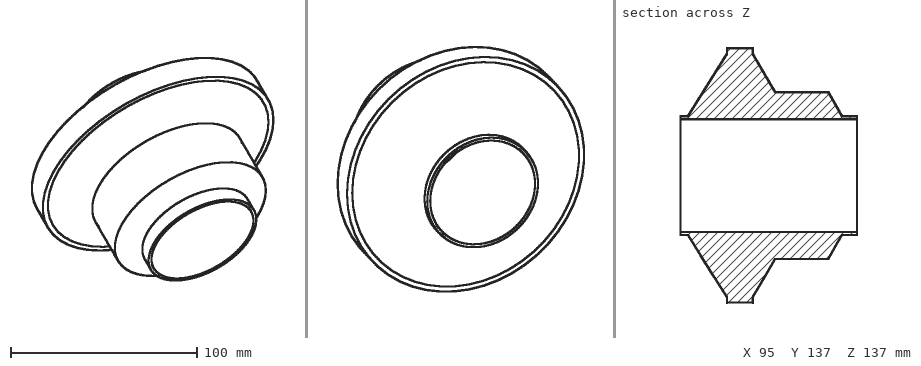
import cadquery as cq

flange_diameter = 137.0
cone_diameter = 131.0
hub_diameter = 89.7
neck_diameter = 64.0
bore_diameter = 60.5

front_neck_length = 4.0
front_cone_length = 21.0
flange_thickness = 14.0
back_cone_length = 12.0
hub_length = 28.6
hub_taper_length = 7.3
back_neck_length = 8.1

sections = [
    (front_neck_length, neck_diameter, neck_diameter),
    (front_cone_length, neck_diameter, cone_diameter),
    (flange_thickness, flange_diameter, flange_diameter),
    (back_cone_length, cone_diameter, hub_diameter),
    (hub_length, hub_diameter, hub_diameter),
    (hub_taper_length, hub_diameter, neck_diameter),
    (back_neck_length, neck_diameter, neck_diameter),
]


def revolved_section(start_x, length, start_diameter, end_diameter):
    """Ring around the X axis between the bore and a straight or tapered outside."""
    end_x = start_x + length
    bore_radius = bore_diameter / 2
    return (
        cq.Workplane("XY")
        .moveTo(start_x, bore_radius)
        .lineTo(start_x, start_diameter / 2)
        .lineTo(end_x, end_diameter / 2)
        .lineTo(end_x, bore_radius)
        .close()
        .revolve(360, (0, 0, 0), (1, 0, 0))
    )


result = cq.Workplane("XY")
section_start = 0.0
for length, start_diameter, end_diameter in sections:
    section = revolved_section(section_start, length, start_diameter, end_diameter)
    result = result.union(section)
    section_start += length